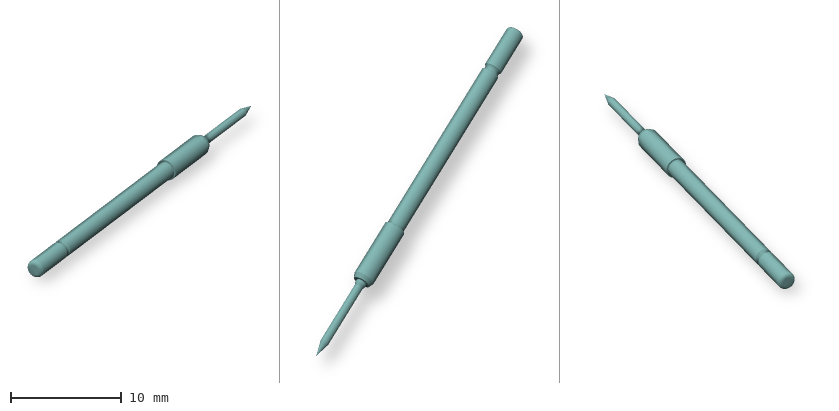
import cadquery as cq

LENGTH = 36.3

BARREL_RADIUS = 0.85
SLEEVE_DIAMETER = 2.0
MOUTH_RADIUS = 0.8
COLLAR_RADIUS = 0.5
PLUNGER_RADIUS = 0.4
GROOVE_FLOOR_RADIUS = 0.7

BUTT_FILLET = 0.35
GROOVE_START = 4.2
GROOVE_WIDTH = 0.55
SLEEVE_START = 22.07
SLEEVE_LENGTH = 6.0
SLEEVE_CHAMFER = 0.45
COLLAR_LENGTH = 0.25
COLLAR_TAPER = 0.3
POINT_LENGTH = 1.5

groove_middle = GROOVE_START + GROOVE_WIDTH / 2
groove_end = GROOVE_START + GROOVE_WIDTH
mouth = SLEEVE_START + SLEEVE_LENGTH
shoulder = mouth - SLEEVE_CHAMFER
collar_end = mouth + COLLAR_LENGTH
plunger_start = collar_end + COLLAR_TAPER
point_start = LENGTH - POINT_LENGTH

sleeve_radius = SLEEVE_DIAMETER / 2
butt_flat_radius = BARREL_RADIUS - BUTT_FILLET
half_outline = (
    cq.Workplane("XY")
    .moveTo(0, 0)
    .lineTo(butt_flat_radius, 0)
    .radiusArc((BARREL_RADIUS, BUTT_FILLET), -BUTT_FILLET)
    .lineTo(BARREL_RADIUS, GROOVE_START)
    .threePointArc((GROOVE_FLOOR_RADIUS, groove_middle), (BARREL_RADIUS, groove_end))
    .lineTo(BARREL_RADIUS, SLEEVE_START)
    .lineTo(sleeve_radius, SLEEVE_START)
    .lineTo(sleeve_radius, shoulder)
    .lineTo(MOUTH_RADIUS, mouth)
    .lineTo(COLLAR_RADIUS, mouth)
    .lineTo(COLLAR_RADIUS, collar_end)
    .lineTo(PLUNGER_RADIUS, plunger_start)
    .lineTo(PLUNGER_RADIUS, point_start)
    .lineTo(0, LENGTH)
    .close()
)

result = half_outline.revolve(360, (0, 0, 0), (0, 1, 0))